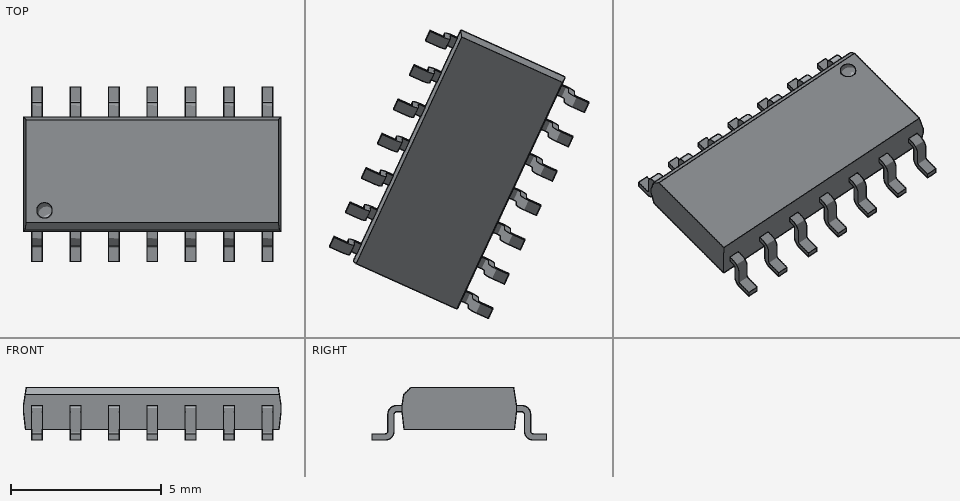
import cadquery as cq
import math

body_length = 8.55
body_width = 3.805
body_bottom = 0.35
band_bottom = 0.94
body_top = 1.75
top_inset = 0.09
bottom_inset = 0.07

bevel_width = 0.205
bevel_height = 0.24

lead_count = 7
lead_pitch = 1.27
lead_width = 0.36
lead_thickness = 0.21
lead_span = 5.8
shank_span = 4.745
inner_bend = 0.085
outer_bend = inner_bend + lead_thickness
band_top = band_bottom + lead_thickness

dimple_x = -3.57
dimple_y = -1.2
dimple_radius = 0.26
dimple_depth = 0.2
dimple_floor_fillet = 0.15


def band_outline(height):
    """Full body outline at a height."""
    return cq.Workplane("XY").workplane(offset=height).rect(body_length, body_width)


def drafted_half(band_height, end_height, inset):
    """Tapered block from the band to the top or bottom face."""
    return (
        band_outline(band_height)
        .workplane(offset=end_height - band_height)
        .rect(body_length - 2 * inset, body_width - 2 * inset)
        .loft(ruled=True)
    )


def make_body():
    """Straight band joined to its drafted upper and lower halves."""
    band = band_outline(band_bottom).extrude(lead_thickness)
    upper = drafted_half(band_top, body_top, top_inset)
    lower = drafted_half(band_bottom, body_bottom, bottom_inset)
    return band.union(upper).union(lower)


def make_bevel_cut():
    """Wedge that removes the top edge on the -Y side along the whole body."""
    top_edge_y = -body_width / 2 + top_inset
    drafted_slope = top_inset / (body_top - band_top)
    bevel_start = (top_edge_y + bevel_width, body_top)
    bevel_end = (top_edge_y - drafted_slope * bevel_height, body_top - bevel_height)
    outer_corner = (bevel_end[0], body_top)
    return (
        cq.Workplane("YZ")
        .polyline([bevel_start, bevel_end, outer_corner])
        .close()
        .extrude(body_length / 2, both=True)
    )


def make_dimple():
    """Round blind recess with a rounded corner around its floor."""
    return (
        cq.Workplane("XY")
        .workplane(offset=body_top - dimple_depth)
        .center(dimple_x, dimple_y)
        .circle(dimple_radius)
        .extrude(dimple_depth)
        .faces("<Z")
        .edges()
        .fillet(dimple_floor_fillet)
    )


def make_lead_pair():
    """Two opposite leads, joined through the body by the band-height bar."""
    shank_outer = shank_span / 2
    shank_inner = shank_outer - lead_thickness
    toe = lead_span / 2
    shoulder_y = shank_inner - inner_bend
    shoulder_z = band_bottom - inner_bend
    ankle_y = shank_outer + inner_bend
    ankle_z = outer_bend
    diagonal = math.sqrt(0.5)

    half_lead = (
        cq.Workplane("YZ")
        .moveTo(0, band_top)
        .lineTo(shoulder_y, band_top)
        .threePointArc(
            (shoulder_y + outer_bend * diagonal, shoulder_z + outer_bend * diagonal),
            (shank_outer, shoulder_z),
        )
        .lineTo(shank_outer, ankle_z)
        .threePointArc(
            (ankle_y - inner_bend * diagonal, ankle_z - inner_bend * diagonal),
            (ankle_y, lead_thickness),
        )
        .lineTo(toe, lead_thickness)
        .lineTo(toe, 0)
        .lineTo(ankle_y, 0)
        .threePointArc(
            (ankle_y - outer_bend * diagonal, ankle_z - outer_bend * diagonal),
            (shank_inner, ankle_z),
        )
        .lineTo(shank_inner, shoulder_z)
        .threePointArc(
            (shoulder_y + inner_bend * diagonal, shoulder_z + inner_bend * diagonal),
            (shoulder_y, band_bottom),
        )
        .lineTo(0, band_bottom)
        .close()
        .extrude(lead_width / 2, both=True)
    )
    return half_lead.union(half_lead.mirror("XZ"))


result = make_body().cut(make_bevel_cut()).cut(make_dimple())
lead_pair = make_lead_pair()
for index in range(lead_count):
    lead_x = (index - (lead_count - 1) / 2) * lead_pitch
    result = result.union(lead_pair.translate((lead_x, 0, 0)))